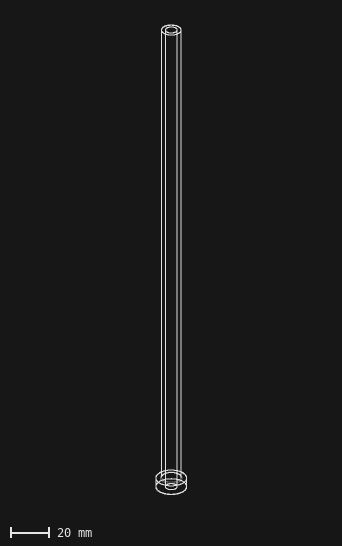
import cadquery as cq

total_length = 275.0
head_diameter = 16.0
head_height = 5.2
shaft_diameter = 10.2
bore_diameter = 6.0
neck_fillet_radius = 0.5

head_radius = head_diameter / 2
shaft_radius = shaft_diameter / 2
bore_radius = bore_diameter / 2

half_section = (
    cq.Workplane("XZ")
    .moveTo(-bore_radius, 0)
    .lineTo(-head_radius, 0)
    .lineTo(-head_radius, head_height)
    .lineTo(-shaft_radius - neck_fillet_radius, head_height)
    .tangentArcPoint((-shaft_radius, head_height + neck_fillet_radius), relative=False)
    .lineTo(-shaft_radius, total_length)
    .lineTo(-bore_radius, total_length)
    .close()
)

result = half_section.revolve(360, (0, 0, 0), (0, 1, 0))